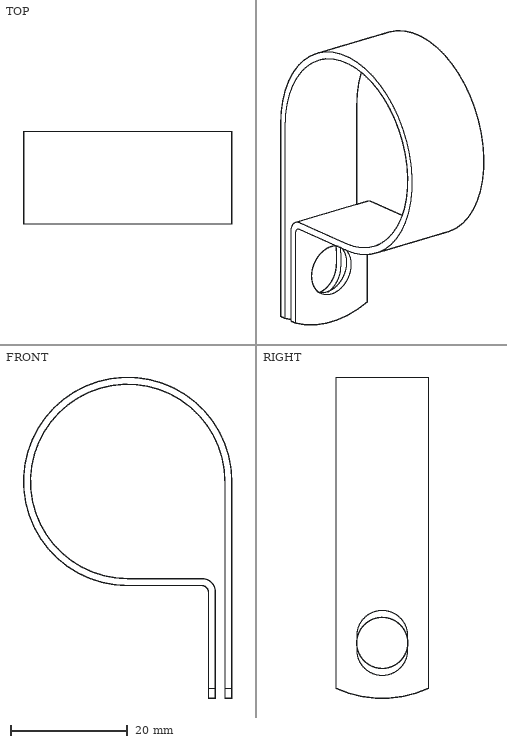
import cadquery as cq
import math

strap_width = 15.88
thickness = 1.23
loop_outer_radius = 17.88
loop_inner_radius = loop_outer_radius - thickness

total_height = 55.1
leg_gap = 1.6
bend_inner_radius = 1.07
bend_outer_radius = bend_inner_radius + thickness
tip_sagitta = 1.73
hole_diameter = 8.73
slot_length = 11.15
hole_height = 9.53

tip_z = loop_outer_radius - total_height
hole_z = tip_z + hole_height
outer_leg_inner_x = loop_inner_radius
inner_leg_right_x = outer_leg_inner_x - leg_gap
inner_leg_left_x = inner_leg_right_x - thickness
bend_x = inner_leg_right_x - bend_outer_radius
bend_z = -loop_inner_radius - bend_outer_radius


def strap():
    """Constant-thickness band: straight leg, three-quarter loop, bend and second leg."""
    diagonal = math.sqrt(0.5)
    profile = (
        cq.Workplane("XZ")
        .moveTo(loop_outer_radius, tip_z)
        .lineTo(loop_outer_radius, 0)
        .threePointArc(
            (-loop_outer_radius * diagonal, loop_outer_radius * diagonal),
            (0, -loop_outer_radius),
        )
        .lineTo(bend_x, -loop_outer_radius)
        .threePointArc(
            (bend_x + bend_inner_radius * diagonal, bend_z + bend_inner_radius * diagonal),
            (inner_leg_left_x, bend_z),
        )
        .lineTo(inner_leg_left_x, tip_z)
        .lineTo(inner_leg_right_x, tip_z)
        .lineTo(inner_leg_right_x, bend_z)
        .threePointArc(
            (bend_x + bend_outer_radius * diagonal, bend_z + bend_outer_radius * diagonal),
            (bend_x, -loop_inner_radius),
        )
        .lineTo(0, -loop_inner_radius)
        .threePointArc(
            (-loop_inner_radius * diagonal, loop_inner_radius * diagonal),
            (outer_leg_inner_x, 0),
        )
        .lineTo(outer_leg_inner_x, tip_z)
        .close()
    )
    return profile.extrude(strap_width / 2, both=True)


def rounded_tip_envelope():
    """Block as wide as the strap whose lower face is the shallow arc of the leg tips."""
    half_width = strap_width / 2
    corner_z = tip_z + tip_sagitta
    return (
        cq.Workplane("YZ")
        .moveTo(-half_width, loop_outer_radius)
        .lineTo(-half_width, corner_z)
        .threePointArc((0, tip_z), (half_width, corner_z))
        .lineTo(half_width, loop_outer_radius)
        .close()
        .extrude(loop_outer_radius, both=True)
    )


def round_hole():
    """Cylinder along X through the bent inner leg only."""
    return (
        cq.Workplane("YZ", origin=(inner_leg_left_x, 0, hole_z))
        .circle(hole_diameter / 2)
        .extrude(thickness)
    )


def slotted_hole():
    """Upright slot along X through the straight outer leg only, centred on the round hole."""
    return (
        cq.Workplane("YZ", origin=(outer_leg_inner_x, 0, hole_z))
        .slot2D(slot_length, hole_diameter, 90)
        .extrude(thickness)
    )


result = (
    strap()
    .intersect(rounded_tip_envelope())
    .cut(round_hole())
    .cut(slotted_hole())
)